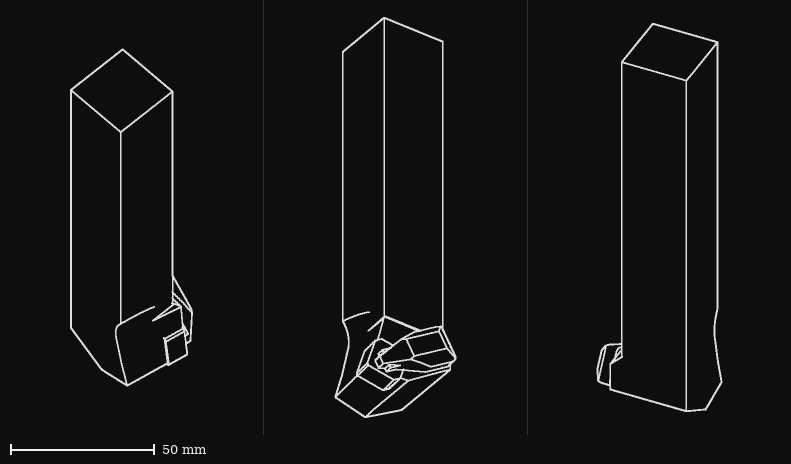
import cadquery as cq
import math

LENGTH = 154.3
SHANK = 25.0
HEAD_DEPTH = 29.5
HEAD_RISE_Z = 26.8
SHOULDER_Z = 25.9
HEAD_WIDTH = 37.0
FOOT_Z = 1.5
CHAMFER_TOP_Z = 11.4
CHAMFER_ANGLE = 31.5

NOSE_X = 32.4
NOSE_Y = 25.2
DIAGONAL_ANGLE = 30.0
TILT = 8.4

EDGE_INSET = 0.8
SEAT_SIDE = 10.8
KICK_ANGLE = 3.5
UPPER_SIDE = 11.9
NECK_KINK = 4.0
NECK_RADIUS = 14.2
NECK_SWEEP = 60.0
FAR = 61.7

INSERT_SIDE = 13.1
INSERT_THICKNESS = 8.0
CORNER_CHAMFER = 2.0
NOSE_CHAMFER = 0.6

CLAMP_BACK = 33.3
CLAMP_TAPER_START = 21.9
CLAMP_TIP = 4.0
CLAMP_HALF_WIDTH = 7.0
CLAMP_OFFSET = 0.8
CLAMP_TIP_HALF_WIDTH = 1.5
CLAMP_CORNER_RADIUS = 2.0
CLAMP_HEIGHT = 8.8
BACK_WALL = 4.5
BACK_SLOPE = 5.2
FRONT_SLOPE_START = 13.6
TIP_HEIGHT = 3.4
TONGUE_BACK = 12.0
TONGUE_FRONT = 6.5
TONGUE_HALF_WIDTH = 3.5
TONGUE_HEIGHT = 3.1
SIDE_WALL = 4.0
SIDE_CHAMFER_HEIGHT = 6.3
SIDE_CHAMFER_WIDTH = 1.5
TOP_HALF_WIDTH = 3.4

tilt = math.radians(TILT)
diagonal = math.radians(DIAGONAL_ANGLE)
lower_edge = INSERT_SIDE - CORNER_CHAMFER
edge_climb = (math.cos(diagonal) - math.cos(tilt) * math.sin(diagonal)) / math.sqrt(2)
nose_z = lower_edge * edge_climb

clamp_frame = cq.Plane(
    origin=(NOSE_X, NOSE_Y, nose_z),
    xDir=(math.cos(tilt) * math.cos(diagonal), -math.sin(tilt), -math.cos(tilt) * math.sin(diagonal)),
    normal=(math.sin(tilt) * math.cos(diagonal), math.cos(tilt), -math.sin(tilt) * math.sin(diagonal)),
)
edge_frame = clamp_frame.rotated((0, 0, -45))


def make_blank():
    """Shank and head before the side faces, the rake plane and the clamp."""
    chamfer_run = (CHAMFER_TOP_Z - FOOT_Z) / math.tan(math.radians(CHAMFER_ANGLE))
    front = (
        cq.Workplane("XZ")
        .polyline([
            (0, LENGTH),
            (0, CHAMFER_TOP_Z),
            (chamfer_run, FOOT_Z),
            (HEAD_WIDTH, FOOT_Z),
            (HEAD_WIDTH, SHOULDER_Z - (HEAD_WIDTH - SHANK)),
            (SHANK, SHOULDER_Z),
            (SHANK, LENGTH),
        ])
        .close()
        .extrude(-HEAD_DEPTH)
    )
    side = (
        cq.Workplane("YZ")
        .polyline([
            (0, FOOT_Z),
            (HEAD_DEPTH, FOOT_Z),
            (HEAD_DEPTH, HEAD_RISE_Z - (HEAD_DEPTH - SHANK)),
            (SHANK, HEAD_RISE_Z),
            (SHANK, LENGTH),
            (0, LENGTH),
        ])
        .close()
        .extrude(HEAD_WIDTH)
    )
    return front.intersect(side)


def make_side_waste():
    """Material outside the two edge faces, the upper side face and the neck arc."""
    kick = math.radians(KICK_ANGLE)
    sweep = math.radians(NECK_SWEEP)
    upper_start = (-EDGE_INSET, -EDGE_INSET - SEAT_SIDE)
    neck_start = (
        upper_start[0] + UPPER_SIDE * math.sin(kick),
        upper_start[1] - UPPER_SIDE * math.cos(kick),
    )
    arc_start = math.radians(NECK_KINK - KICK_ANGLE)
    centre = (
        neck_start[0] + NECK_RADIUS * math.cos(arc_start),
        neck_start[1] + NECK_RADIUS * math.sin(arc_start),
    )

    def neck_point(turn):
        angle = arc_start + turn
        return (centre[0] - NECK_RADIUS * math.cos(angle), centre[1] - NECK_RADIUS * math.sin(angle))

    neck_end = neck_point(sweep)
    return (
        cq.Workplane(edge_frame)
        .moveTo(-FAR, -EDGE_INSET)
        .lineTo(-EDGE_INSET, -EDGE_INSET)
        .lineTo(*upper_start)
        .lineTo(*neck_start)
        .threePointArc(neck_point(sweep / 2), neck_end)
        .lineTo(FAR, neck_end[1])
        .lineTo(FAR, FAR)
        .lineTo(-FAR, FAR)
        .close()
        .extrude(FAR, both=True)
    )


def make_rake_waste():
    """Material in front of the tilted rake plane."""
    return cq.Workplane(clamp_frame).rect(2 * FAR, FAR).extrude(FAR)


def make_clamp():
    """Clamp block on the rake side of the head, pointing at the nose."""
    plan = (
        cq.Workplane("XY")
        .polyline([
            (-CLAMP_BACK, -CLAMP_HALF_WIDTH),
            (-CLAMP_TAPER_START, -CLAMP_HALF_WIDTH),
            (-CLAMP_TIP, -CLAMP_TIP_HALF_WIDTH),
            (-CLAMP_TIP, CLAMP_TIP_HALF_WIDTH),
            (-CLAMP_TAPER_START, CLAMP_HALF_WIDTH),
            (-CLAMP_BACK, CLAMP_HALF_WIDTH),
        ])
        .close()
        .extrude(CLAMP_HEIGHT)
        .edges("|Z and <X")
        .fillet(CLAMP_CORNER_RADIUS)
    )
    profile = (
        cq.Workplane("XZ")
        .polyline([
            (-CLAMP_BACK, 0),
            (-CLAMP_BACK, BACK_WALL),
            (-CLAMP_BACK + BACK_SLOPE, CLAMP_HEIGHT),
            (-FRONT_SLOPE_START, CLAMP_HEIGHT),
            (-CLAMP_TIP, TIP_HEIGHT),
            (-CLAMP_TIP, 0),
        ])
        .close()
        .extrude(CLAMP_HALF_WIDTH, both=True)
    )
    chamfer_half_width = CLAMP_HALF_WIDTH - SIDE_CHAMFER_WIDTH
    section = (
        cq.Workplane("YZ")
        .polyline([
            (-CLAMP_HALF_WIDTH, 0),
            (-CLAMP_HALF_WIDTH, SIDE_WALL),
            (-chamfer_half_width, SIDE_CHAMFER_HEIGHT),
            (-TOP_HALF_WIDTH, CLAMP_HEIGHT),
            (TOP_HALF_WIDTH, CLAMP_HEIGHT),
            (chamfer_half_width, SIDE_CHAMFER_HEIGHT),
            (CLAMP_HALF_WIDTH, SIDE_WALL),
            (CLAMP_HALF_WIDTH, 0),
        ])
        .close()
        .extrude(-CLAMP_BACK)
    )
    tongue = (
        cq.Workplane("XY")
        .rect(TONGUE_BACK - TONGUE_FRONT, 2 * TONGUE_HALF_WIDTH)
        .extrude(TONGUE_HEIGHT)
        .translate((-(TONGUE_BACK + TONGUE_FRONT) / 2, 0, 0))
    )
    clamp = plan.intersect(profile).intersect(section).union(tongue).translate((0, CLAMP_OFFSET, 0))
    return cq.Workplane(clamp.val().moved(cq.Location(clamp_frame)))


def make_insert():
    """Square insert with chamfered corners."""
    return (
        cq.Workplane(edge_frame)
        .polyline([
            (-NOSE_CHAMFER, 0),
            (-lower_edge, 0),
            (-INSERT_SIDE, -CORNER_CHAMFER),
            (-INSERT_SIDE, -lower_edge),
            (-lower_edge, -INSERT_SIDE),
            (-CORNER_CHAMFER, -INSERT_SIDE),
            (0, -lower_edge),
            (0, -NOSE_CHAMFER),
        ])
        .close()
        .extrude(-INSERT_THICKNESS)
    )


insert = make_insert()
holder = make_blank().cut(make_side_waste()).cut(make_rake_waste()).union(make_clamp()).cut(insert)

result = cq.Compound.makeCompound([holder.val(), insert.val()])